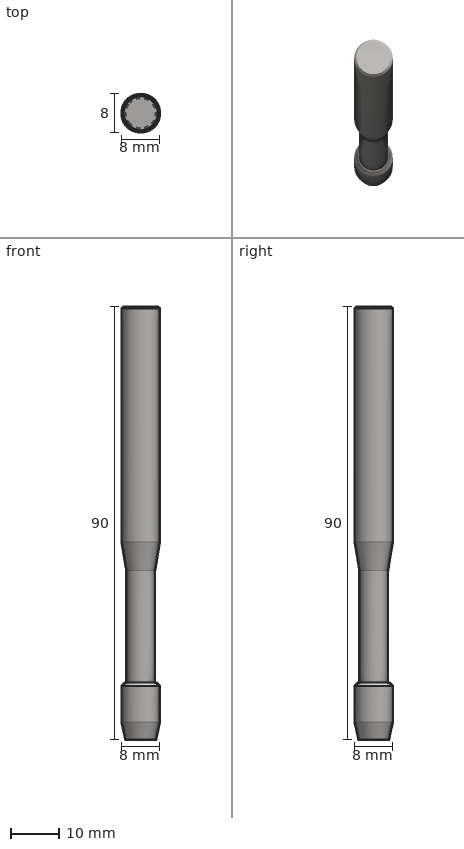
import cadquery as cq

total_length = 90.0
shank_diameter = 8.0
neck_diameter = 6.0
tip_diameter = 6.4
tip_taper_height = 3.7
head_height = 11.9
neck_top = 35.2
shank_start = 41.1
top_chamfer = 0.45
shoulder_chamfer = 0.7

shank_radius = shank_diameter / 2
neck_radius = neck_diameter / 2
tip_radius = tip_diameter / 2


def revolve_profile(points):
    """Turn a closed (radius, height) outline about the Z axis."""
    return cq.Workplane("XZ").polyline(points).close().revolve(360, (0, 0), (0, 1))


def make_cutting_head():
    """Head with a tapered tip and a 45-degree chamfered shoulder below the neck."""
    return revolve_profile([
        (0, 0),
        (tip_radius, 0),
        (shank_radius, tip_taper_height),
        (shank_radius, head_height - shoulder_chamfer),
        (shank_radius - shoulder_chamfer, head_height),
        (0, head_height),
    ])


def make_shank():
    """Slim neck, conical transition and full-diameter shank with a chamfered top."""
    return revolve_profile([
        (0, head_height),
        (neck_radius, head_height),
        (neck_radius, neck_top),
        (shank_radius, shank_start),
        (shank_radius, total_length - top_chamfer),
        (shank_radius - top_chamfer, total_length),
        (0, total_length),
    ])


cutting_head = make_cutting_head()
shank = make_shank()

result = cq.Compound.makeCompound([cutting_head.val(), shank.val()])